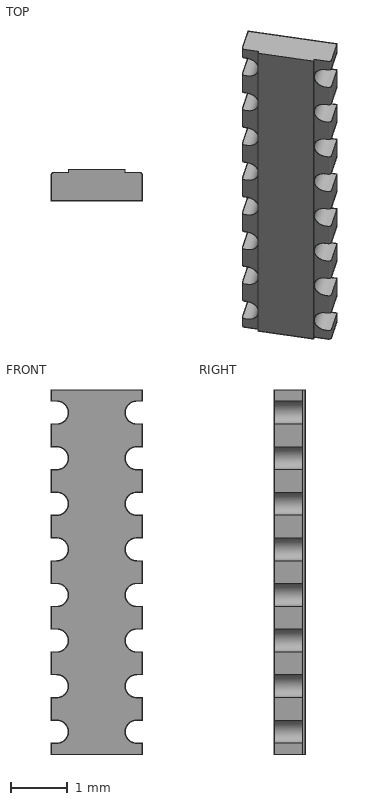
import cadquery as cq

width = 1.6
thickness = 0.55
notch_count = 8
notch_pitch = 0.8
height = notch_count * notch_pitch

notch_depth = 0.3
notch_height = 0.4

pad_width = width - 2 * notch_depth
pad_thickness = 0.05
plate_thickness = thickness - pad_thickness
edge_radius = 0.05

front_y = -thickness / 2
plate_back_y = front_y + plate_thickness


def make_block(size_x, size_y, start_y):
    """Full-height block centred on X and Z, growing toward +Y from start_y."""
    block = cq.Workplane("XY").box(size_x, size_y, height, centered=(True, False, True))
    return block.translate((0, start_y, 0))


def make_plate():
    """Plate with its two long back edges rounded."""
    plate = make_block(width, plate_thickness, front_y)
    return plate.faces(">Y").edges("|Z").fillet(edge_radius)


def make_notches():
    """Slots through the plate, centred on its side edges so that half of each cuts in."""
    return (
        cq.Workplane("XZ", origin=(0, plate_back_y, 0))
        .rarray(width, notch_pitch, 2, notch_count)
        .slot2D(2 * notch_depth, notch_height)
        .extrude(plate_thickness)
    )


pad = make_block(pad_width, pad_thickness, plate_back_y)
result = make_plate().cut(make_notches()).union(pad)